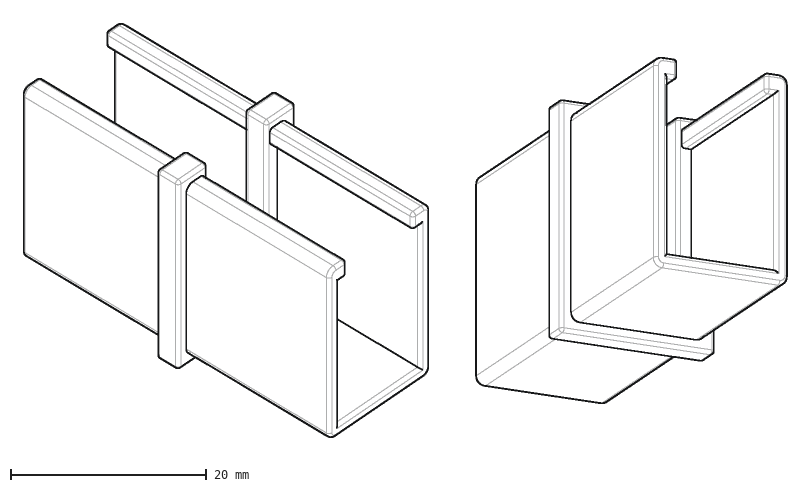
import cadquery as cq

length = 43.0
band_width = 17.5
band_height = 25.0

band_length = 3.0
band_margin = 1.2
band_leg_thickness = 4.35

wall = 1.5
lip_gap = 9.9
lip_height = 2.15
corner_radius = 1.0
edge_radius = 0.4

channel_width = band_width - 2 * band_margin
channel_height = band_height - 2 * band_margin
band_base_thickness = band_margin + wall - edge_radius


def centred_box(size_x, size_y, bottom, top):
    """Box centred on X = 0 and Y = 0, between two heights."""
    box = cq.Workplane("XY").box(size_x, size_y, top - bottom, centered=(True, True, False))
    return box.translate((0, 0, bottom))


def make_channel():
    top = channel_height / 2
    floor = wall - top

    channel = centred_box(length, channel_width, -top, top).edges("|X").fillet(corner_radius)
    hollow = centred_box(length, channel_width - 2 * wall, floor, top - lip_height)
    opening = centred_box(length, lip_gap, floor, top)
    channel = channel.cut(hollow.union(opening))

    reach = (lip_gap + edge_radius) / 2
    lip_tips = cq.selectors.BoxSelector((-length, -reach, -band_height), (length, reach, band_height))
    channel = channel.edges("|X").edges(lip_tips).fillet(edge_radius)
    return channel.faces("<X or >X").edges().fillet(edge_radius)


def make_band():
    top = band_height / 2
    leg_gap = band_width - 2 * band_leg_thickness

    band = centred_box(band_length, band_width, -top, top)
    opening = centred_box(band_length, leg_gap, band_base_thickness - top, top)
    return band.cut(opening).edges("(not |X) or >Z or <Z").fillet(edge_radius)


result = make_channel().union(make_band())